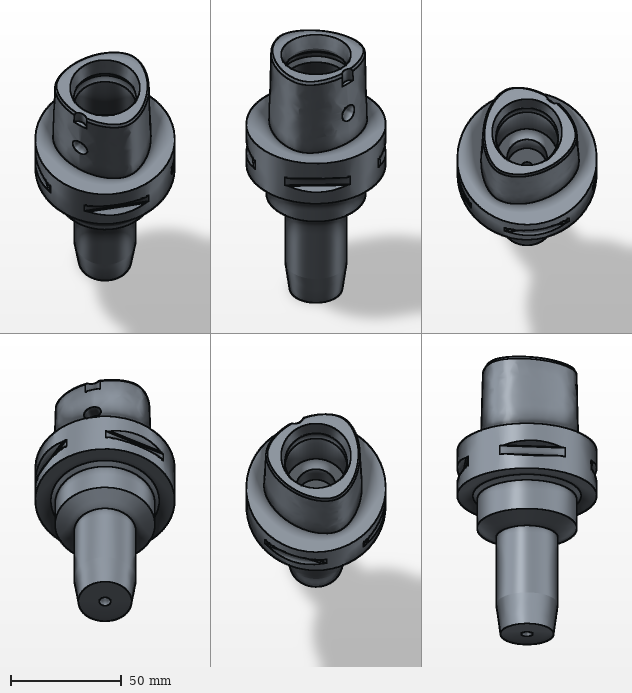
import cadquery as cq
import math

total_length = 128.0
shank_length = 38.0
flange_length = 22.0
relief_length = 1.9
collar_end_depth = 76.0
neck_start_depth = 80.6
nose_start_depth = 113.5

flange_radius = 31.5
relief_radius = 24.5
collar_radius = 22.5
neck_radius = 14.0
nose_tip_radius = 12.0

shank_base_radius = 22.1
lobe_height = 1.4
shank_taper = 1 / 40
shank_chamfer_height = 1.4
shank_chamfer_width = 0.8
lobe_count = 3
curve_points = 48

mouth_radius = 15.7
lip_radius = 14.1
mouth_cone_depth = 6.5
groove_radius = 16.0
groove_top_depth = 9.9
groove_bottom_depth = 12.0
bore_radius = 14.1
bore_depth = 38.4
pocket_radius = 9.1
pocket_depth = 51.2
through_radius = 2.5

notch_radius = 4.4
notch_center = 22.3
notch_depth = 6.4
index_hole_radius = 4.0
index_hole_depth = 22.4
index_hole_floor = 14.7

slot_count = 4
slot_first_angle = 45
slot_floor_distance = 27.8
slot_floor_height = 4.2
slot_straight_depth = 0.9
slot_side_angle = 30
slot_center_depth = shank_length + 12.0

flange_bottom_depth = shank_length + flange_length
shank_base_z = total_length - shank_length


def height(depth):
    """Z of a level given its depth below the top face."""
    return total_length - depth


def revolve_profile(points):
    """Revolve (radius, depth) points around the Z axis."""
    profile = [(radius, height(depth)) for radius, depth in points]
    return cq.Workplane("XZ").polyline(profile).close().revolve(360, (0, 0), (0, 1))


def make_body():
    return revolve_profile([
        (0, shank_length),
        (flange_radius, shank_length),
        (flange_radius, flange_bottom_depth),
        (relief_radius, flange_bottom_depth),
        (collar_radius, flange_bottom_depth + relief_length),
        (collar_radius, collar_end_depth),
        (neck_radius, neck_start_depth),
        (neck_radius, nose_start_depth),
        (nose_tip_radius, total_length),
        (0, total_length),
    ])


def polygon_wire(mean_radius, z):
    """Closed three-lobed curve with one lobe pointing along +Y."""
    def point(t):
        angle = 2 * math.pi * t
        reach = mean_radius - lobe_height * math.sin(lobe_count * angle)
        slope = -lobe_count * lobe_height * math.cos(lobe_count * angle)
        x = reach * math.cos(angle) - slope * math.sin(angle)
        y = reach * math.sin(angle) + slope * math.cos(angle)
        return cq.Vector(x, y, z)

    points = [point(i / curve_points) for i in range(curve_points)]
    return cq.Wire.assembleEdges([cq.Edge.makeSpline(points, periodic=True)])


def make_shank():
    chamfer_z = total_length - shank_chamfer_height
    chamfer_base_radius = shank_base_radius - shank_taper * (chamfer_z - shank_base_z)
    base = polygon_wire(shank_base_radius, shank_base_z)
    shoulder = polygon_wire(chamfer_base_radius, chamfer_z)
    top = polygon_wire(chamfer_base_radius - shank_chamfer_width, total_length)
    taper = cq.Solid.makeLoft([base, shoulder], True)
    chamfer = cq.Solid.makeLoft([shoulder, top], True)
    return cq.Workplane(taper).union(cq.Workplane(chamfer))


def make_bore():
    lip_end_depth = groove_top_depth - (groove_radius - lip_radius)
    bore_start_depth = groove_bottom_depth + (groove_radius - bore_radius)
    return revolve_profile([
        (0, 0),
        (mouth_radius, 0),
        (lip_radius, mouth_cone_depth),
        (lip_radius, lip_end_depth),
        (groove_radius, groove_top_depth),
        (groove_radius, groove_bottom_depth),
        (bore_radius, bore_start_depth),
        (bore_radius, bore_depth),
        (pocket_radius, bore_depth),
        (pocket_radius, pocket_depth),
        (through_radius, pocket_depth),
        (through_radius, total_length),
        (0, total_length),
    ])


def make_notch():
    return (
        cq.Workplane("XY", origin=(0, -notch_center, height(notch_depth)))
        .circle(notch_radius)
        .extrude(notch_depth)
    )


def make_index_hole():
    return (
        cq.Workplane("XZ", origin=(0, -index_hole_floor, height(index_hole_depth)))
        .circle(index_hole_radius)
        .extrude(flange_radius - index_hole_floor)
    )


def make_slot(angle):
    """Flat-floored slot facing the given angle; its walls rise straight, then slope apart."""
    slope_start = slot_floor_distance + slot_straight_depth
    half_floor = slot_floor_height / 2
    half_mouth = half_floor + (flange_radius - slope_start) * math.tan(math.radians(slot_side_angle))
    return (
        cq.Workplane("XZ", origin=(0, flange_radius, height(slot_center_depth)))
        .polyline([
            (slot_floor_distance, -half_floor),
            (slope_start, -half_floor),
            (flange_radius, -half_mouth),
            (flange_radius, half_mouth),
            (slope_start, half_floor),
            (slot_floor_distance, half_floor),
        ])
        .close()
        .extrude(2 * flange_radius)
        .rotate((0, 0, 0), (0, 0, 1), angle)
    )


result = make_body().union(make_shank())
result = result.cut(make_bore()).cut(make_notch()).cut(make_index_hole())
for index in range(slot_count):
    result = result.cut(make_slot(slot_first_angle + index * 360 / slot_count))